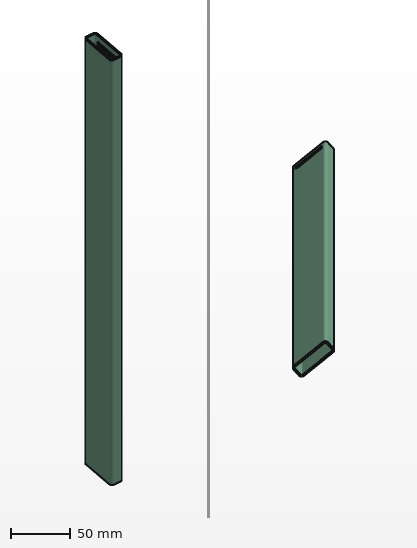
import cadquery as cq

width = 38.1
depth = 12.7
length = 474.2
wall = 1.65
outer_radius = 2.75
inner_radius = outer_radius - wall

slot_height = 3.8
slot_width = 30.0
slot_top_margin = 7.0


def rounded_bar(size_x, size_y, corner_radius):
    """Full-length bar with its four long edges rounded."""
    return cq.Workplane("XY").rect(size_x, size_y).extrude(length).edges("|Z").fillet(corner_radius)


def slot_cutter():
    """Round-ended bar along X, reaching from the tube's centre plane out through the +Y wall."""
    slot_z = length - slot_top_margin - slot_height / 2
    return (
        cq.Workplane("XZ", origin=(0, 0, slot_z))
        .slot2D(slot_width, slot_height)
        .extrude(-depth)
    )


outside = rounded_bar(width, depth, outer_radius)
bore = rounded_bar(width - 2 * wall, depth - 2 * wall, inner_radius)

result = outside.cut(bore).cut(slot_cutter())